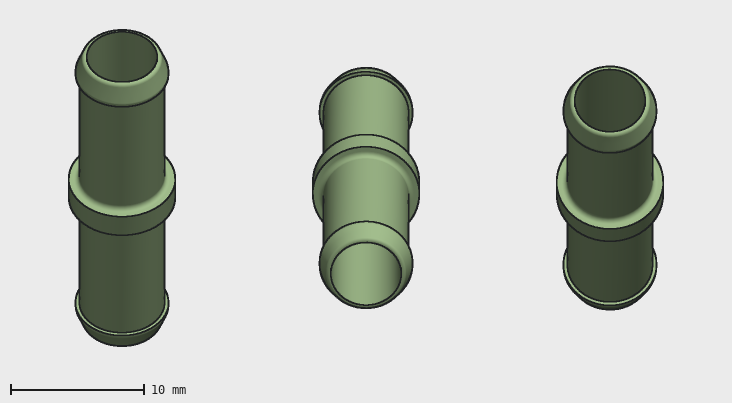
import cadquery as cq
import math

length = 28.0
bore_diameter = 5.3
tube_diameter = 6.4
barb_diameter = 7.0
collar_diameter = 8.0
collar_height = 2.0
collar_fillet = 0.4
barb_height = 1.8
barb_edge_radius = 0.3
lip_radius = 0.3
lip_flat_diameter = 5.45
cone_angle = 20.0

tube_radius = tube_diameter / 2
barb_radius = barb_diameter / 2
half_length = length / 2
half_collar = collar_height / 2

lip_center_radius = lip_flat_diameter / 2
lip_center_z = half_length - lip_radius


def lip_point(angle):
    """Point on the lip arc at an angle in degrees above horizontal."""
    turn = math.radians(angle)
    return (
        lip_center_radius + lip_radius * math.cos(turn),
        lip_center_z + lip_radius * math.sin(turn),
    )


cone_start = lip_point(cone_angle)
land_top = cone_start[1] - (barb_radius - cone_start[0]) / math.tan(math.radians(cone_angle))
barb_bottom = half_length - barb_height

edge_center_radius = barb_radius - barb_edge_radius
edge_arc_start_z = land_top - barb_edge_radius * math.tan(math.radians(cone_angle / 2))


def barb_edge_point(angle):
    """Point on the barb edge arc at an angle in degrees above horizontal."""
    turn = math.radians(angle)
    return (
        edge_center_radius + barb_edge_radius * math.cos(turn),
        edge_arc_start_z + barb_edge_radius * math.sin(turn),
    )


fillet_offset = collar_fillet * (1 - math.sqrt(0.5))
fillet_mid = (tube_radius + fillet_offset, half_collar + fillet_offset)

hose_end = (
    cq.Workplane("XZ")
    .moveTo(0, half_collar)
    .lineTo(tube_radius + collar_fillet, half_collar)
    .threePointArc(fillet_mid, (tube_radius, half_collar + collar_fillet))
    .lineTo(tube_radius, barb_bottom)
    .lineTo(barb_radius, barb_bottom)
    .lineTo(*barb_edge_point(0))
    .threePointArc(barb_edge_point(cone_angle / 2), barb_edge_point(cone_angle))
    .lineTo(*cone_start)
    .threePointArc(lip_point((cone_angle + 90) / 2), lip_point(90))
    .lineTo(0, half_length)
    .close()
    .revolve(360, (0, 0, 0), (0, 1, 0))
)

collar = cq.Workplane("XY", origin=(0, 0, -half_collar)).circle(collar_diameter / 2).extrude(collar_height)
bore = cq.Workplane("XY", origin=(0, 0, -half_length)).circle(bore_diameter / 2).extrude(length)

result = collar.union(hose_end).union(hose_end.mirror("XY")).cut(bore)